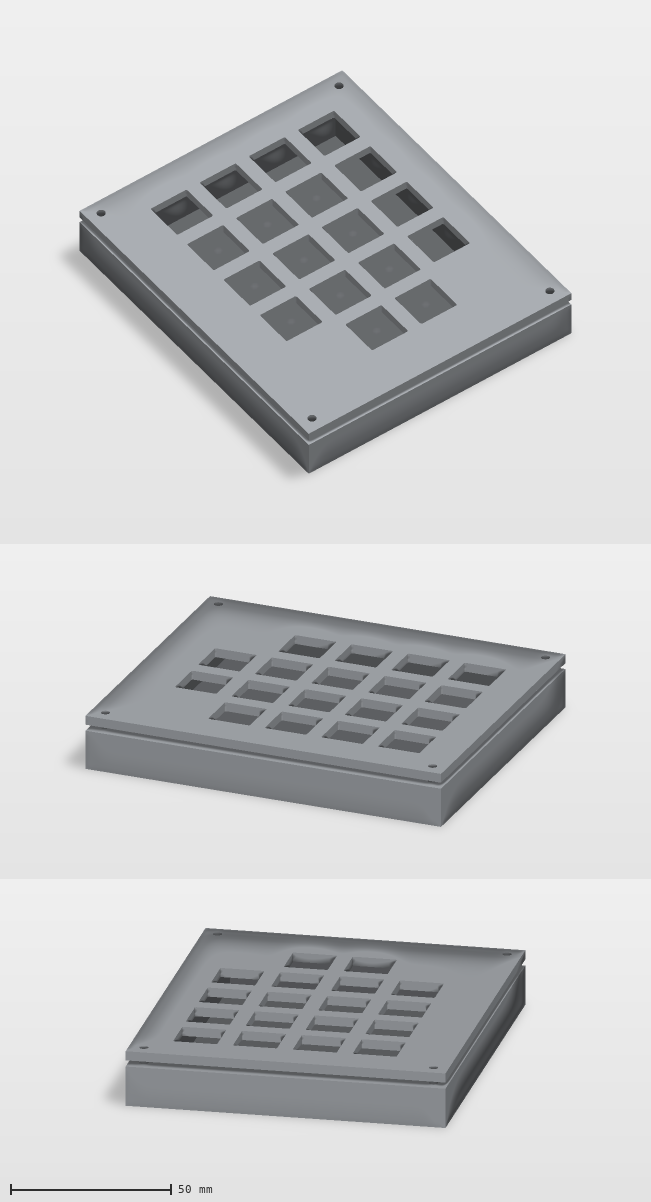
import cadquery as cq

length = 120.0
width = 102.0
height = 18.0

plate_thickness = 3.0
gap = 2.0
tray_height = height - plate_thickness - gap
plate_bottom = height - plate_thickness

wall = 10.0
floor = 3.0

hole_diameter = 2.9
hole_inset = 4.8

key_size = 14.0
key_corner_radius = 0.5
key_pitch = 19.1
first_key_x = -length / 2 + wall + key_pitch / 2
back_row_y = width / 2 - wall - key_pitch / 2
keys_per_row = [4, 5, 5, 4]


def slab(bottom, thickness):
    """Full-size rectangular block with its underside at the given height."""
    block = cq.Workplane("XY").box(length, width, thickness, centered=(True, True, False))
    return block.translate((0, 0, bottom))


def corner_holes():
    """Cutters for the four screw holes, tall enough to pass through both bodies."""
    return (
        cq.Workplane("XY")
        .rect(length - 2 * hole_inset, width - 2 * hole_inset, forConstruction=True)
        .vertices()
        .circle(hole_diameter / 2)
        .extrude(height)
    )


def key_openings():
    """Cutters for the grid of square key openings."""
    centers = []
    for row, key_count in enumerate(keys_per_row):
        for column in range(key_count):
            x = first_key_x + column * key_pitch
            y = back_row_y - row * key_pitch
            centers.append((x, y))
    return (
        cq.Workplane("XY", origin=(0, 0, plate_bottom))
        .pushPoints(centers)
        .rect(key_size, key_size)
        .extrude(plate_thickness)
        .edges("|Z")
        .fillet(key_corner_radius)
    )


def make_tray():
    """Open-topped tray with a rectangular pocket and screw holes in its rim."""
    pocket = (
        cq.Workplane("XY", origin=(0, 0, floor))
        .rect(length - 2 * wall, width - 2 * wall)
        .extrude(tray_height - floor)
    )
    return slab(0, tray_height).cut(pocket).cut(corner_holes())


def make_cover_plate():
    """Flat plate above the tray with key openings and matching screw holes."""
    return slab(plate_bottom, plate_thickness).cut(key_openings()).cut(corner_holes())


tray = make_tray()
cover_plate = make_cover_plate()

result = cq.Compound.makeCompound([tray.val(), cover_plate.val()])